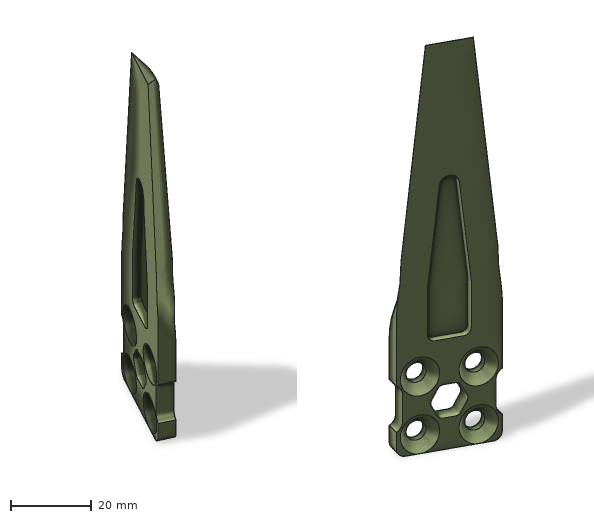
import cadquery as cq
import math

length = 111.4
half_width = 14.3
plate_thickness = 4.7
peak_thickness = 7.6
bottom_corner_radius = 2.5

ramp_start_z = 38.4
peak_z = 48.6
tip_ridge_thickness = 4.8
tip_ridge_z = 105.0
tip_arc_middle = (4.07, 107.3)
tip_bevel_top = (3.0, 109.0)

tip_half_width = 6.5
shoulder_half_width = 13.0
shoulder_z = 53.5
flank_rise = 0.72
flare_end_z = 38.5
back_flare_end_z = 26.1
front_flare_middle = (13.4, 46.8)
back_flare_middle = (8.4, 41.2)
back_shoulder_z = 49.7
cutter_reach = 22.3

hole_center_z = 13.2
hole_spacing = 15.8
hole_diameter = 5.3
sink_diameter = 10.6
sink_angle = 90.0
hex_flats = 9.1
hex_corner_radius = 1.7

notch_half_width = 12.6
notch_outer_height = 12.6
notch_inner_height = 7.4

pocket_depth = 2.3
pocket_half_width = 5.9
pocket_bottom_z = 30.2
pocket_taper_z = 44.9
pocket_tip_half_width = 2.7
pocket_arc_z = 72.6
pocket_top_z = 74.7
pocket_corner_radius = 2.0


def front_plane(y=0.0):
    """Sketch plane with local x = X and local y = Z; positive extrusion goes to -Y."""
    return cq.Workplane("XZ", origin=(0, y, 0))


def make_blank():
    """Full-width bar with the ramp, falling ridge and rounded tip bevel."""
    return (
        cq.Workplane("YZ")
        .moveTo(0, 0)
        .lineTo(plate_thickness, 0)
        .lineTo(plate_thickness, ramp_start_z)
        .lineTo(peak_thickness, peak_z)
        .lineTo(tip_ridge_thickness, tip_ridge_z)
        .threePointArc(tip_arc_middle, tip_bevel_top)
        .lineTo(0, length)
        .close()
        .extrude(half_width, both=True)
        .edges("|Y and <Z")
        .fillet(bottom_corner_radius)
    )


def flank_wire(y, flare_end, shoulder, flare_middle):
    """Outline of the material beside one flank, at distance y from the flat face."""
    taper = (shoulder_half_width - tip_half_width) / (length - shoulder_z)
    inset = y / flank_rise

    def taper_x(z):
        return tip_half_width + taper * (length - z) - inset

    def point(x, z):
        return cq.Vector(x, y, z)

    flare_end_point = point(half_width, flare_end)
    shoulder_point = point(taper_x(shoulder), shoulder)
    top_point = point(taper_x(length), length)
    outer_top = point(cutter_reach, length)
    outer_bottom = point(cutter_reach, flare_end)
    middle_x, middle_z = flare_middle
    flare_points = [flare_end_point, point(middle_x, middle_z), shoulder_point]
    flare = cq.Edge.makeSpline(flare_points, tangents=[cq.Vector(0, 0, 1), cq.Vector(-taper, 0, 1)])
    return cq.Wire.assembleEdges([
        flare,
        cq.Edge.makeLine(shoulder_point, top_point),
        cq.Edge.makeLine(top_point, outer_top),
        cq.Edge.makeLine(outer_top, outer_bottom),
        cq.Edge.makeLine(outer_bottom, flare_end_point),
    ])


def make_flank_cutter():
    """Ruled cutter whose inner face blends the plate side into the sloping flank."""
    front_wire = flank_wire(0, flare_end_z, shoulder_z, front_flare_middle)
    back_wire = flank_wire(peak_thickness, back_flare_end_z, back_shoulder_z, back_flare_middle)
    return cq.Workplane(obj=cq.Solid.makeLoft([front_wire, back_wire], True))


def make_notch():
    """Right-hand notch with concave ends tangent to its wall."""
    depth = half_width - notch_half_width
    rise = (notch_outer_height - notch_inner_height) / 2
    radius = (depth**2 + rise**2) / (2 * depth)
    half_sweep = math.atan2(depth, rise)
    middle_x = notch_half_width + radius * (1 - math.cos(half_sweep))
    middle_rise = radius * math.sin(half_sweep)
    inner_top = hole_center_z + notch_inner_height / 2
    inner_bottom = hole_center_z - notch_inner_height / 2
    outer_top = hole_center_z + notch_outer_height / 2
    outer_bottom = hole_center_z - notch_outer_height / 2
    return (
        front_plane()
        .moveTo(half_width, outer_bottom)
        .threePointArc((middle_x, inner_bottom - middle_rise), (notch_half_width, inner_bottom))
        .lineTo(notch_half_width, inner_top)
        .threePointArc((middle_x, inner_top + middle_rise), (half_width, outer_top))
        .close()
        .extrude(-plate_thickness)
    )


def make_pocket():
    """Tapered recess in the flat face with a rounded tip."""
    return (
        front_plane()
        .moveTo(-pocket_half_width, pocket_bottom_z)
        .lineTo(pocket_half_width, pocket_bottom_z)
        .lineTo(pocket_half_width, pocket_taper_z)
        .lineTo(pocket_tip_half_width, pocket_arc_z)
        .threePointArc((0, pocket_top_z), (-pocket_tip_half_width, pocket_arc_z))
        .lineTo(-pocket_half_width, pocket_taper_z)
        .close()
        .extrude(-pocket_depth)
        .edges("|Y and <Z")
        .fillet(pocket_corner_radius)
    )


def make_hex_hole():
    """Hexagonal through hole with rounded corners pointing along X."""
    corner_diameter = hex_flats / math.cos(math.pi / 6)
    return (
        front_plane()
        .center(0, hole_center_z)
        .polygon(6, corner_diameter)
        .extrude(-plate_thickness)
        .edges("|Y")
        .fillet(hex_corner_radius)
    )


def drill_holes(body):
    """Four countersunk holes opening onto the flat face."""
    return (
        body.copyWorkplane(front_plane())
        .center(0, hole_center_z)
        .rarray(hole_spacing, hole_spacing, 2, 2)
        .cskHole(hole_diameter, sink_diameter, sink_angle)
    )


body = make_blank()
for side_cutter in (make_flank_cutter(), make_notch()):
    body = body.cut(side_cutter).cut(side_cutter.mirror("YZ"))
body = body.cut(make_pocket()).cut(make_hex_hole())
result = drill_holes(body)